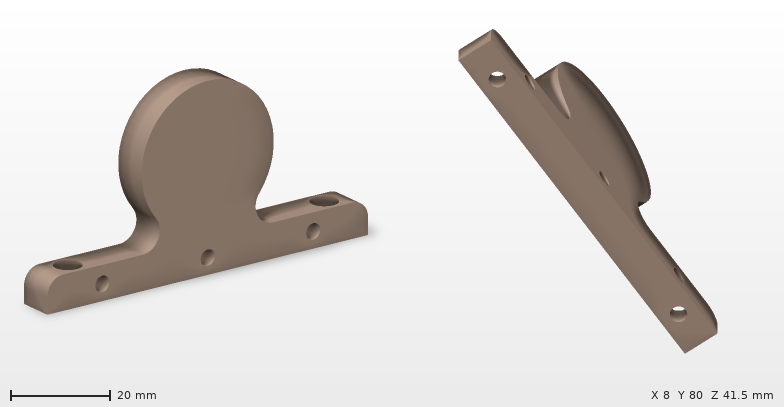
import cadquery as cq
import math

thickness = 8.0
length = 80.0
total_height = 41.5
disc_radius = 16.5
base_height = 7.8
corner_radius = 3.8
neck_radius = 4.3

cross_hole_diameter = 3.5
cross_hole_spacing = 26.3
cross_hole_height = 3.7

mount_hole_diameter = 3.5
mount_bore_diameter = 6.0
mount_bore_depth = 2.7
mount_hole_offset = 32.0

disc_center_z = total_height - disc_radius
neck_center_z = base_height + neck_radius
center_distance = disc_radius + neck_radius
neck_center_y = math.sqrt(center_distance**2 - (disc_center_z - neck_center_z) ** 2)
contact_ratio = disc_radius / center_distance
contact_y = neck_center_y * contact_ratio
contact_z = disc_center_z + (neck_center_z - disc_center_z) * contact_ratio


def neck_arc_point(angle):
    """Point on the +Y neck arc at an angle measured from +Y towards +Z."""
    return (
        neck_center_y + neck_radius * math.cos(angle),
        neck_center_z + neck_radius * math.sin(angle),
    )


def make_body():
    """Bar with rounded top corners, carrying a disc on a filleted neck."""
    half_length = length / 2
    contact_angle = math.atan2(contact_z - neck_center_z, contact_y - neck_center_y)
    bottom_angle = math.pi * 3 / 2
    middle_y, middle_z = neck_arc_point((bottom_angle + contact_angle) / 2)
    body = (
        cq.Workplane("YZ", origin=(-thickness / 2, 0, 0))
        .moveTo(-half_length, 0)
        .lineTo(half_length, 0)
        .lineTo(half_length, base_height)
        .lineTo(neck_center_y, base_height)
        .threePointArc((middle_y, middle_z), (contact_y, contact_z))
        .threePointArc((0, total_height), (-contact_y, contact_z))
        .threePointArc((-middle_y, middle_z), (-neck_center_y, base_height))
        .lineTo(-half_length, base_height)
        .close()
        .extrude(thickness)
    )
    end_faces = body.faces("<Y or >Y")
    return end_faces.edges(">Z").fillet(corner_radius)


def cut_cross_holes(body):
    """Row of three plain holes along X."""
    holes = (
        cq.Workplane("YZ", origin=(-thickness / 2, 0, 0))
        .pushPoints([(i * cross_hole_spacing, cross_hole_height) for i in (-1, 0, 1)])
        .circle(cross_hole_diameter / 2)
        .extrude(thickness)
    )
    return body.cut(holes)


def cut_mount_holes(body):
    """Two vertical holes counterbored from the base top."""
    return (
        body.copyWorkplane(cq.Workplane("XY", origin=(0, 0, base_height)))
        .pushPoints([(0, -mount_hole_offset), (0, mount_hole_offset)])
        .cboreHole(mount_hole_diameter, mount_bore_diameter, mount_bore_depth)
    )


result = cut_mount_holes(cut_cross_holes(make_body()))